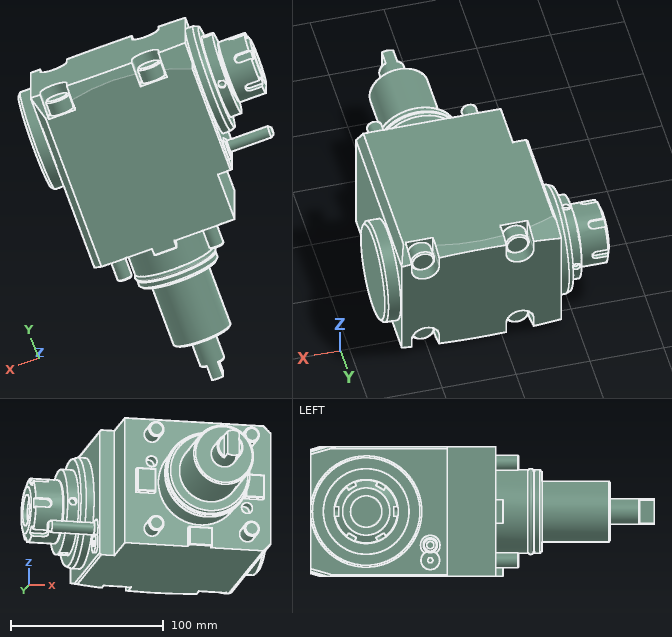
import cadquery as cq
import math


height = 85.0
half_height = height / 2
right_face = 48.0
left_face = -60.0
left_face_lower = -50.0
step_y = 32.0
spindle_y = 85.0
flange_radius = 36.5
back_y = spindle_y + flange_radius
right_chamfer = 5.0
left_chamfer = 1.2

relief_center_x = (left_face + right_face) / 2
relief_radius = 134.0
relief_start_y = 115.3
relief_slope = 0.31
relief_reach = 40.0

bolt_spacing = 64.0
bolt_diameter = 10.0
bolt_projection = 15.0
bolt_chamfer = 0.8
head_diameter = 16.0
head_length = 10.0
head_chamfer = 1.0
pocket_width = 18.5
pocket_floor_y = 105.0

key_length = 15.5
key_width = 12.4
key_height = 5.0
key_edge = 0.5
side_key_x = 36.5

hole_diameter = 7.2
hole_x = bolt_spacing / 2
hole_z = 14.0
hole_depth = 10.0
drill_tip_angle = 118.0

collar_radius = 27.5
collar_length = 30.3
collar_chamfer = 1.5
ring_groove_start = 21.0
ring_groove_width = 4.2
ring_groove_depth = 1.2
ring_section_radius = 1.85
ring_outer_radius = 28.2
shank_radius = 20.0
shank_end = 75.0
shank_chamfer = 1.0
drive_radius = 8.5
drive_shoulder = 94.4
drive_chamfer = 0.8
drive_end = 104.0
tang_thickness = 7.8

flange_face = -68.5
flange_chamfer_length = 3.2
flange_chamfer_depth = 1.25
cover_face = -75.9
cover_radius = 28.1
cover_hole_x = -72.3
cover_hole_diameter = 5.0
cover_hole_depth = 3.0
cover_hole_count = 4
cap_radius = 33.9
cap_length = 10.3
cap_chamfer = 2.0

nut_radius = 21.0
nut_front = -97.6
nut_cone_length = 2.0
nut_nose_radius = 15.5
nut_cone_radius = 20.6
nut_back = -76.8
nut_back_chamfer = 0.8
neck_radius = 16.3
bore_radius = 10.3
bore_depth = 3.0
nut_slot_count = 6
nut_slot_width = 6.0
nut_slot_end = -85.0
nut_slot_depth = 3.0

nozzle_y = 43.0
nozzle_z = -22.0
nozzle_radius = 4.0
nozzle_tip = -92.2
nozzle_chamfer_length = 2.0
nozzle_chamfer_depth = 1.6
nozzle_base_radius = 6.4
nozzle_base_top_radius = 4.7
nozzle_base_length = 1.8
screw_z = -32.0
screw_radius = 6.1
screw_height = 1.5
screw_socket_diameter = 3.6
screw_socket_depth = 1.2

margin = 1.0


def along_x(x, y, z):
    """Workplane at a point, facing +X."""
    return cq.Workplane("YZ", origin=(x, y, z))


def along_y(x, y, z):
    """Workplane at a point, facing +Y, with local X along +X and local Y along -Z."""
    return cq.Workplane(cq.Plane(origin=(x, y, z), xDir=(1, 0, 0), normal=(0, 1, 0)))


def turned_on_spindle(profile):
    """Revolve (x, radius) points about the spindle axis."""
    return (cq.Workplane("XY", origin=(0, spindle_y, 0))
            .polyline(profile).close().revolve(360, (0, 0, 0), (1, 0, 0)))


def make_block():
    outline = [
        (left_face, back_y), (right_face, back_y), (right_face, 0),
        (left_face_lower, 0), (left_face_lower, step_y), (left_face, step_y),
    ]
    block = (cq.Workplane("XY", origin=(0, 0, -half_height))
             .polyline(outline).close().extrude(height))
    block = block.faces(">X").edges("|Y").chamfer(right_chamfer)
    return block.faces("<X").edges("|Y").chamfer(left_chamfer)


def make_relief():
    """Ring with a sloped underside that trims the back of the top face."""
    outer = relief_radius + relief_reach
    inner = relief_radius - margin
    rise = margin * relief_slope
    section = [
        (inner, half_height + rise),
        (outer, half_height - relief_reach * relief_slope),
        (outer, half_height + rise),
    ]
    center_y = relief_start_y - relief_radius
    return (cq.Workplane("XZ").polyline(section).close()
            .revolve(360, (0, 0, 0), (0, 1, 0))
            .translate((relief_center_x, center_y, 0)))


def make_bolt_pocket(x, side):
    """U-shaped pocket, open to the back and to the face on the given Z side."""
    z = side * bolt_spacing / 2
    depth = back_y - pocket_floor_y + margin
    opening = half_height - bolt_spacing / 2 + margin
    round_end = along_y(x, pocket_floor_y, z).circle(pocket_width / 2).extrude(depth)
    mouth = (along_y(x, pocket_floor_y, z + side * opening / 2)
             .rect(pocket_width, opening).extrude(depth))
    return round_end.union(mouth)


def make_bolt(x, z):
    shaft = (along_y(x, -bolt_projection, z).circle(bolt_diameter / 2)
             .extrude(bolt_projection + pocket_floor_y)
             .faces("<Y").chamfer(bolt_chamfer))
    head = (along_y(x, pocket_floor_y, z).circle(head_diameter / 2).extrude(head_length)
            .faces(">Y").chamfer(head_chamfer))
    return shaft.union(head)


def make_key(x, z, size_x, size_z):
    key = cq.Workplane("XY").box(size_x, key_height, size_z).faces("<Y").chamfer(key_edge)
    return key.translate((x, -key_height / 2, z))


def make_keys():
    bottom_key_z = -half_height + key_width / 2
    keys = make_key(0, bottom_key_z, key_length, key_width)
    for side in (-1, 1):
        keys = keys.union(make_key(side * side_key_x, 0, key_width, key_length))
    return keys


def drilled_hole(diameter, depth):
    """Hole from the origin along +Y, ending in a drill-point cone past its depth."""
    radius = diameter / 2
    tip = radius / math.tan(math.radians(drill_tip_angle / 2))
    return (cq.Workplane("XY")
            .polyline([(0, -margin), (radius, -margin), (radius, depth), (0, depth + tip)])
            .close().revolve(360, (0, 0, 0), (0, 1, 0)))


def make_locating_holes():
    pointed = drilled_hole(hole_diameter, hole_depth).translate((-hole_x, 0, hole_z))
    flat = along_y(hole_x, 0, -hole_z).circle(hole_diameter / 2).extrude(hole_depth)
    return pointed.union(flat)


def make_shank():
    groove_end = ring_groove_start + ring_groove_width
    groove_radius = collar_radius - ring_groove_depth
    profile = [
        (0, 0), (collar_radius, 0),
        (collar_radius, -ring_groove_start), (groove_radius, -ring_groove_start),
        (groove_radius, -groove_end), (collar_radius, -groove_end),
        (collar_radius, collar_chamfer - collar_length),
        (collar_radius - collar_chamfer, -collar_length),
        (shank_radius, -collar_length),
        (shank_radius, shank_chamfer - shank_end),
        (shank_radius - shank_chamfer, -shank_end),
        (drive_radius, -shank_end), (drive_radius, drive_chamfer - drive_shoulder),
        (drive_radius - drive_chamfer, -drive_shoulder), (0, -drive_shoulder),
    ]
    shank = cq.Workplane("XY").polyline(profile).close().revolve(360, (0, 0, 0), (0, 1, 0))
    sealing_ring = (cq.Workplane("XY")
                    .center(ring_outer_radius - ring_section_radius,
                            -ring_groove_start - ring_section_radius)
                    .circle(ring_section_radius)
                    .revolve(360, (ring_section_radius - ring_outer_radius, 0, 0),
                             (ring_section_radius - ring_outer_radius, 1, 0)))
    tang_length = drive_end - shank_end
    tang = (along_y(0, -drive_end, 0).circle(drive_radius).extrude(tang_length)
            .intersect(along_y(0, -drive_end, 0)
                       .rect(tang_thickness, 2 * drive_radius).extrude(tang_length)))
    return shank.union(sealing_ring).union(tang)


def make_spindle_flange():
    """Stepped flange and cover ring on the left face."""
    profile = [
        (left_face, 0), (left_face, flange_radius),
        (flange_face + flange_chamfer_length, flange_radius),
        (flange_face, flange_radius - flange_chamfer_depth),
        (flange_face, cover_radius), (cover_face, cover_radius), (cover_face, 0),
    ]
    flange = turned_on_spindle(profile)
    hole = (drilled_hole(cover_hole_diameter, cover_hole_depth)
            .translate((cover_hole_x, spindle_y - cover_radius, 0)))
    for index in range(cover_hole_count):
        angle = index * 360 / cover_hole_count
        flange = flange.cut(hole.rotate((0, spindle_y, 0), (1, spindle_y, 0), angle))
    return flange


def make_end_cap():
    return (along_x(right_face, spindle_y, 0).circle(cap_radius).extrude(cap_length)
            .faces(">X").chamfer(cap_chamfer))


def make_nozzle():
    base_top = left_face - nozzle_base_length
    profile = [
        (left_face, 0), (left_face, nozzle_base_radius), (base_top, nozzle_base_top_radius),
        (base_top, nozzle_radius), (nozzle_tip + nozzle_chamfer_length, nozzle_radius),
        (nozzle_tip, nozzle_radius - nozzle_chamfer_depth), (nozzle_tip, 0),
    ]
    return (cq.Workplane("XY").polyline(profile).close()
            .revolve(360, (0, 0, 0), (1, 0, 0)).translate((0, nozzle_y, nozzle_z)))


def make_clamp_screw():
    head_face = left_face - screw_height
    head = along_x(head_face, nozzle_y, screw_z).circle(screw_radius).extrude(screw_height)
    socket = (along_x(head_face, nozzle_y, screw_z)
              .polygon(6, screw_socket_diameter).extrude(screw_socket_depth))
    return head.cut(socket)


def make_housing():
    body = make_block()
    relief = make_relief()
    body = body.cut(relief).cut(relief.mirror("XY"))
    for x in (-bolt_spacing / 2, bolt_spacing / 2):
        for side in (-1, 1):
            body = body.cut(make_bolt_pocket(x, side))
            body = body.union(make_bolt(x, side * bolt_spacing / 2))
    body = body.cut(make_locating_holes())
    attachments = (make_keys(), make_shank(), make_spindle_flange(), make_end_cap(),
                   make_nozzle(), make_clamp_screw())
    for attachment in attachments:
        body = body.union(attachment)
    return body


def make_collet_nut():
    """Collet nut whose neck rests against the cover ring."""
    profile = [
        (cover_face, 0), (cover_face, neck_radius), (nut_back, neck_radius),
        (nut_back, nut_radius - nut_back_chamfer), (nut_back - nut_back_chamfer, nut_radius),
        (nut_front + nut_cone_length, nut_radius),
        (nut_front + nut_cone_length, nut_cone_radius),
        (nut_front, nut_nose_radius), (nut_front, bore_radius),
        (nut_front + bore_depth, bore_radius), (nut_front + bore_depth, 0),
    ]
    nut = turned_on_spindle(profile)
    floor_z = nut_radius - nut_slot_depth
    round_x = nut_slot_end - nut_slot_width / 2
    straight = round_x - nut_front + margin
    slot = (cq.Workplane("XY", origin=(round_x, spindle_y, floor_z))
            .circle(nut_slot_width / 2).extrude(nut_slot_depth + margin))
    slot = slot.union(cq.Workplane("XY", origin=(round_x - straight / 2, spindle_y, floor_z))
                      .rect(straight, nut_slot_width).extrude(nut_slot_depth + margin))
    for index in range(nut_slot_count):
        angle = 90 + index * 360 / nut_slot_count
        nut = nut.cut(slot.rotate((0, spindle_y, 0), (1, spindle_y, 0), angle))
    return nut


housing = make_housing()
collet_nut = make_collet_nut()
result = cq.Compound.makeCompound([housing.val(), collet_nut.val()])